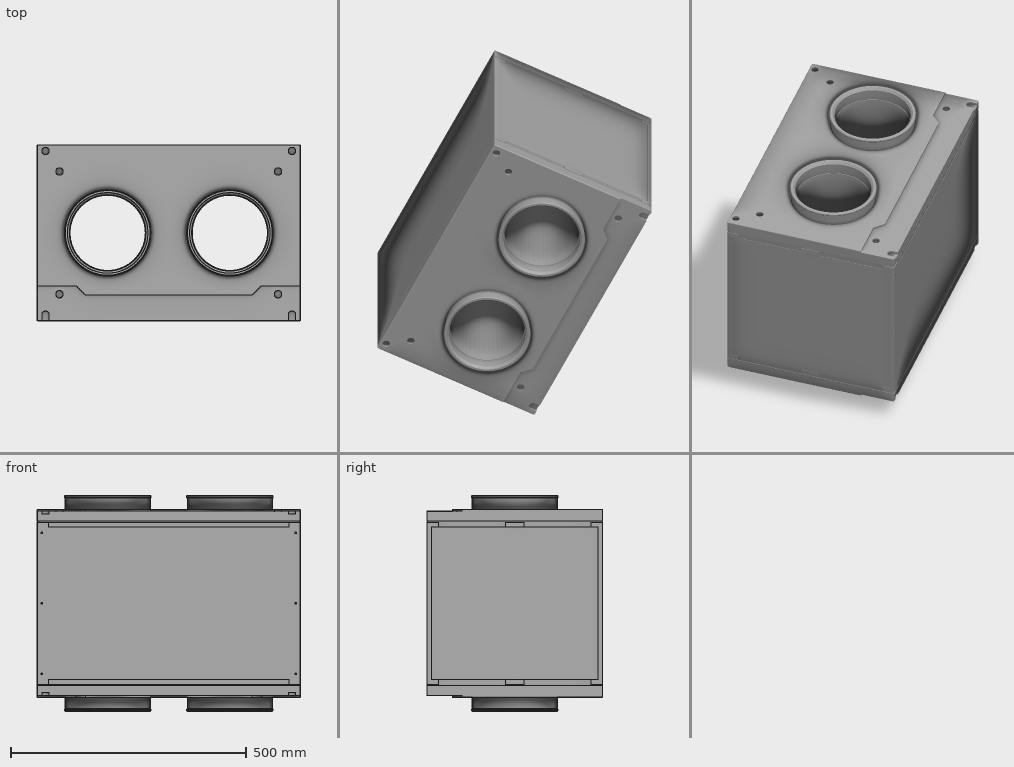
import cadquery as cq

LENGTH = 560.0
WIDTH = 374.0
CASE_HEIGHT = 400.0
TOTAL_HEIGHT = 460.0
EDGE_RADIUS = 2.0
HALF_LENGTH = LENGTH / 2
HALF_WIDTH = WIDTH / 2
CASE_TOP = CASE_HEIGHT / 2

SHELF_DROP = 4.0
SHELF_BACK_Y = -112.5
SHELF_JOG = 19.5
JOG_START_X = 197.0
SHELF_Z = CASE_TOP - SHELF_DROP

HOLE_DIAMETER = 15.5
HOLE_FLOOR_Z = 190.0
HOLE_HEIGHT = CASE_TOP - HOLE_FLOOR_Z
CORNER_X = 262.0
CORNER_Y = 174.0
INNER_HOLE_X = 232.5
INNER_HOLE_Y = 130.5

SEAM_Z = 173.5
SEAM_HEIGHT = 2.0
SEAM_DEPTH = 1.0
MIDDLE_TOP = SEAM_Z - SEAM_HEIGHT / 2

PANEL_TOP = 162.5
PANEL_DEPTH = 0.5
TAB_DEPTH = 1.0
TAB_HEIGHT = MIDDLE_TOP - PANEL_TOP
FRONT_STRIP_LENGTH = 511.0
SIDE_PANEL_WIDTH = 354.0
SIDE_TAB_INNER_Y = 20.0
SIDE_TAB_OUTER_Y = 162.0

PIN_DIAMETER = 3.5
PIN_DEPTH = 3.5
PIN_X = 270.0
PIN_Z_SPACING = 150.0

DUCT_X = 130.0
SPIGOT_RADIUS = 91.0
RIM_RADIUS = 92.0
RIM_HEIGHT = 6.0
RIM_BEVEL = 1.5
MOUTH_RADIUS = 85.5
MOUTH_DEPTH = 5.0
SPIGOT_BORE_RADIUS = 81.0
CASE_BORE_RADIUS = 80.0
SPIGOT_TOP = TOTAL_HEIGHT / 2


def with_mirror(solid, plane):
    """Join a solid with its mirror image."""
    return solid.union(solid.mirror(plane))


def casing():
    """Closed box with softened edges."""
    return cq.Workplane("XY").box(LENGTH, WIDTH, CASE_HEIGHT).edges().fillet(EDGE_RADIUS)


def shelf_cutter():
    """Material removed above the front shelf of the upper cap."""
    jog_end_x = JOG_START_X - SHELF_JOG
    jog_end_y = SHELF_BACK_Y - SHELF_JOG
    outline = [
        (-HALF_LENGTH, -HALF_WIDTH),
        (-HALF_LENGTH, SHELF_BACK_Y),
        (-JOG_START_X, SHELF_BACK_Y),
        (-jog_end_x, jog_end_y),
        (jog_end_x, jog_end_y),
        (JOG_START_X, SHELF_BACK_Y),
        (HALF_LENGTH, SHELF_BACK_Y),
        (HALF_LENGTH, -HALF_WIDTH),
    ]
    return cq.Workplane("XY").workplane(offset=SHELF_Z).polyline(outline).close().extrude(SHELF_DROP)


def hole_cutter():
    """Blind screw holes of the upper cap; the front corner ones are open slots."""
    floor = cq.Workplane("XY").workplane(offset=HOLE_FLOOR_Z)
    centers = [(side * CORNER_X, y) for side in (-1, 1) for y in (-CORNER_Y, CORNER_Y)]
    centers += [(side * INNER_HOLE_X, y) for side in (-1, 1) for y in (-INNER_HOLE_Y, INNER_HOLE_Y)]
    holes = floor.pushPoints(centers).circle(HOLE_DIAMETER / 2).extrude(HOLE_HEIGHT)
    slot_length = HALF_WIDTH - CORNER_Y
    slot_y = -(HALF_WIDTH + CORNER_Y) / 2
    slots = (
        floor.pushPoints([(-CORNER_X, slot_y), (CORNER_X, slot_y)])
        .rect(HOLE_DIAMETER, slot_length)
        .extrude(HOLE_HEIGHT)
    )
    return holes.union(slots)


def seam_cutter():
    """Groove running round the casing under the upper cap."""
    return (
        cq.Workplane("XY")
        .workplane(offset=MIDDLE_TOP)
        .rect(LENGTH, WIDTH)
        .rect(LENGTH - 2 * SEAM_DEPTH, WIDTH - 2 * SEAM_DEPTH)
        .extrude(SEAM_HEIGHT)
    )


def front_strip_cutter():
    """Shallow strip along the top of the front wall."""
    strip = cq.Workplane("XY").box(FRONT_STRIP_LENGTH, PANEL_DEPTH, TAB_HEIGHT, centered=(True, False, False))
    return strip.translate((0, -HALF_WIDTH, PANEL_TOP))


def side_panel_cutter():
    """Shallow panel on the -X wall with two deeper tabs above and below it."""
    panel = cq.Workplane("XY").box(
        PANEL_DEPTH, SIDE_PANEL_WIDTH, 2 * PANEL_TOP, centered=(False, True, True)
    )
    tab_width = SIDE_TAB_OUTER_Y - SIDE_TAB_INNER_Y
    tab = (
        cq.Workplane("XY")
        .box(TAB_DEPTH, tab_width, TAB_HEIGHT, centered=False)
        .translate((0, SIDE_TAB_INNER_Y, PANEL_TOP))
    )
    tabs = with_mirror(with_mirror(tab, "XZ"), "XY")
    return panel.union(tabs).translate((-HALF_LENGTH, 0, 0))


def pin_cutter():
    """Columns of pin holes near both ends of the front wall."""
    centers = [(x, level * PIN_Z_SPACING) for x in (-PIN_X, PIN_X) for level in (-1, 0, 1)]
    pins = cq.Workplane("XZ").pushPoints(centers).circle(PIN_DIAMETER / 2).extrude(-PIN_DEPTH)
    return pins.translate((0, -HALF_WIDTH, 0))


def spigot():
    """Upper half of a duct, from mid height to the beveled rim."""
    rim_bottom = SPIGOT_TOP - RIM_HEIGHT
    profile = [
        (0, 0),
        (SPIGOT_RADIUS, 0),
        (SPIGOT_RADIUS, rim_bottom),
        (RIM_RADIUS, rim_bottom + RIM_BEVEL),
        (RIM_RADIUS, SPIGOT_TOP - RIM_BEVEL),
        (RIM_RADIUS - RIM_BEVEL, SPIGOT_TOP),
        (0, SPIGOT_TOP),
    ]
    return cq.Workplane("XZ").polyline(profile).close().revolve(360, (0, 0), (0, 1))


def bore_cutter():
    """Upper half of the duct bore with its flared mouth."""
    profile = [
        (0, 0),
        (CASE_BORE_RADIUS, 0),
        (CASE_BORE_RADIUS, CASE_TOP),
        (SPIGOT_BORE_RADIUS, CASE_TOP),
        (SPIGOT_BORE_RADIUS, SPIGOT_TOP - MOUTH_DEPTH),
        (MOUTH_RADIUS, SPIGOT_TOP),
        (0, SPIGOT_TOP),
    ]
    return cq.Workplane("XZ").polyline(profile).close().revolve(360, (0, 0), (0, 1))


body = casing()
for cap_cutter in (shelf_cutter(), hole_cutter(), seam_cutter(), front_strip_cutter()):
    body = body.cut(cap_cutter).cut(cap_cutter.mirror("XY"))
side_panel = side_panel_cutter()
body = body.cut(side_panel).cut(side_panel.mirror("YZ")).cut(pin_cutter())

duct = with_mirror(spigot(), "XY")
bore = with_mirror(bore_cutter(), "XY")
for duct_x in (-DUCT_X, DUCT_X):
    body = body.union(duct.translate((duct_x, 0, 0))).cut(bore.translate((duct_x, 0, 0)))

result = body